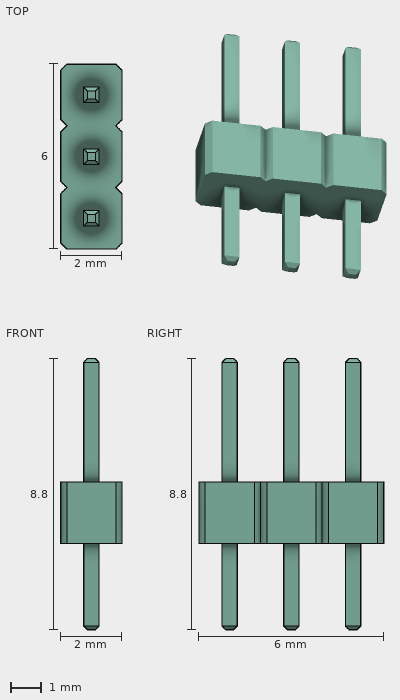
import cadquery as cq

pin_count = 3
pin_length = 8.8
pitch = 6.0 / pin_count
block_width = 2.0
block_height = 2.0
block_chamfer = 0.2
pin_side = 0.5
pin_tip_chamfer = 0.12
pin_below = 2.8


def make_block(y):
    """Housing block with chamfered vertical corners, resting on Z = 0."""
    block = cq.Workplane("XY").box(block_width, pitch, block_height, centered=(True, True, False))
    return block.edges("|Z").chamfer(block_chamfer).translate((0, y, 0))


def make_pin(y):
    """Square pin with tapered tips at both ends."""
    pin = cq.Workplane("XY").box(pin_side, pin_side, pin_length, centered=(True, True, False))
    return pin.faces("<Z or >Z").chamfer(pin_tip_chamfer).translate((0, y, -pin_below))


result = cq.Workplane("XY")
for index in range(pin_count):
    y_position = (index - (pin_count - 1) / 2) * pitch
    result = result.union(make_block(y_position)).union(make_pin(y_position))
result = result.clean()